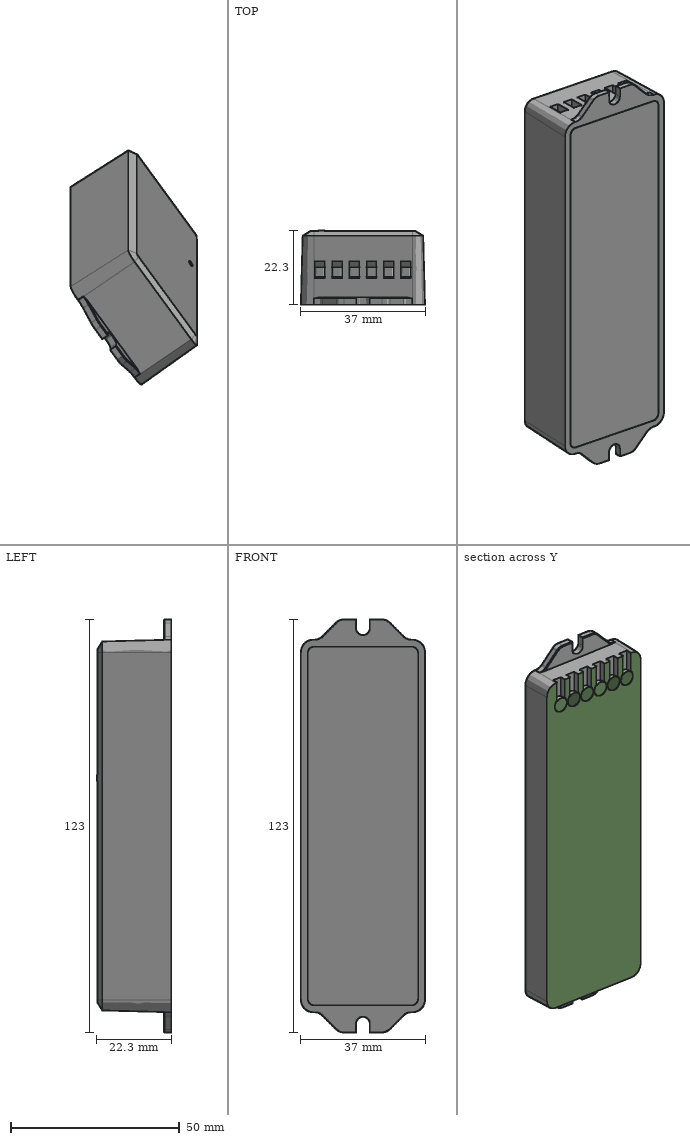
import cadquery as cq
import math

TOTAL_LENGTH = 123.0
TOTAL_DEPTH = 22.3
INDICATOR_HEIGHT = 0.2
BODY_WIDTH = 37.0
BODY_LENGTH = 111.0
BODY_DEPTH = TOTAL_DEPTH - INDICATOR_HEIGHT
CORNER_RADIUS = 3.8
WALL_DRAFT = 1.5
RIM_BEVEL_DEPTH = 1.5
RIM_BEVEL_INSET = 2.3
FRONT_Y = -TOTAL_DEPTH / 2
BACK_Y = FRONT_Y + BODY_DEPTH

PANEL_MARGIN = 2.1
PANEL_RADIUS = 2.0
PANEL_RECESS = 0.1

EAR_THICKNESS = 2.2
EAR_TIP_WIDTH = 14.0
EAR_BEND_RADIUS = 3.3
EAR_BACK_BEVEL = 0.2
EAR_LENGTH = (TOTAL_LENGTH - BODY_LENGTH) / 2
EAR_ROOT_WIDTH = EAR_TIP_WIDTH + 2 * EAR_LENGTH
NOTCH_WIDTH = 4.0
NOTCH_DEPTH = 4.7

INDICATOR_DIAMETER = 1.7
INDICATOR_X = -12.3
INDICATOR_Z = 14.3

ENTRY_COUNT = 6
ENTRY_ROW_SPAN = 25.6
ENTRY_PITCH = ENTRY_ROW_SPAN / (ENTRY_COUNT - 1)
ENTRY_POSITIONS = [i * ENTRY_PITCH - ENTRY_ROW_SPAN / 2 for i in range(ENTRY_COUNT)]
ENTRY_WIDTH = 3.0
ENTRY_FRONT_Y = -3.2
ENTRY_BACK_Y = 1.8
ENTRY_WALL = 2.8
LEAD_IN_ANGLE = 58.0
PIN_RADIUS = 2.2
PIN_FRONT_Y = -2.8
PIN_BACK_Y = 0.0
END_Z = BODY_LENGTH / 2 + FRONT_Y * math.tan(math.radians(WALL_DRAFT))
SLOPE_TOP_Z = END_Z - ENTRY_WALL
SLOPE_DROP = (ENTRY_BACK_Y - PIN_BACK_Y) * math.tan(math.radians(LEAD_IN_ANGLE))
SLOPE_FOOT_Z = SLOPE_TOP_Z - SLOPE_DROP
PIN_Z = SLOPE_FOOT_Z - PIN_RADIUS


def xz_plane(y):
    """Workplane with sketch axes X and Z; a negative extrusion goes towards +Y."""
    return cq.Workplane("XZ", origin=(0, y, 0))


def make_box():
    outline = cq.Sketch().rect(BODY_WIDTH, BODY_LENGTH).vertices().fillet(CORNER_RADIUS)
    box = xz_plane(FRONT_Y).placeSketch(outline).extrude(-BODY_DEPTH, taper=WALL_DRAFT)
    return box.faces(">Y").chamfer(RIM_BEVEL_DEPTH, RIM_BEVEL_INSET)


def make_ear():
    """Notched ear at the +Z end, with its root inside the box."""
    root_z = BODY_LENGTH / 2
    tip_z = TOTAL_LENGTH / 2
    shoulder_x = BODY_WIDTH / 2 - CORNER_RADIUS
    right_side = [
        (shoulder_x, root_z - CORNER_RADIUS),
        (shoulder_x, root_z),
        (EAR_ROOT_WIDTH / 2, root_z),
        (EAR_TIP_WIDTH / 2, tip_z),
    ]
    left_side = [(-x, z) for x, z in reversed(right_side)]
    ear = xz_plane(FRONT_Y).polyline(right_side + left_side).close().extrude(-EAR_THICKNESS)

    bend_points = right_side[2:] + left_side[:2]
    for x, z in bend_points:
        bend = cq.selectors.NearestToPointSelector((x, FRONT_Y + EAR_THICKNESS / 2, z))
        ear = ear.edges("|Y").edges(bend).fillet(EAR_BEND_RADIUS)

    notch = (
        xz_plane(FRONT_Y)
        .center(0, tip_z)
        .slot2D(2 * NOTCH_DEPTH, NOTCH_WIDTH, 90)
        .extrude(-EAR_THICKNESS)
    )
    outer_edges = cq.selectors.BoxSelector(
        (-EAR_ROOT_WIDTH, FRONT_Y, root_z + EAR_BACK_BEVEL),
        (EAR_ROOT_WIDTH, BACK_Y, tip_z + EAR_BACK_BEVEL),
    )
    return ear.faces(">Y").edges(outer_edges).chamfer(EAR_BACK_BEVEL).cut(notch)


def make_panel_recess():
    outline = (
        cq.Sketch()
        .rect(BODY_WIDTH - 2 * PANEL_MARGIN, BODY_LENGTH - 2 * PANEL_MARGIN)
        .vertices()
        .fillet(PANEL_RADIUS)
    )
    return xz_plane(FRONT_Y).placeSketch(outline).extrude(-PANEL_RECESS)


def make_indicator():
    return (
        xz_plane(BACK_Y)
        .center(INDICATOR_X, INDICATOR_Z)
        .circle(INDICATOR_DIAMETER / 2)
        .extrude(-INDICATOR_HEIGHT)
    )


def make_entry(x):
    """Opening of one wire entry, down to the pin's axis."""
    profile = [
        (ENTRY_FRONT_Y, BODY_LENGTH / 2),
        (ENTRY_BACK_Y, BODY_LENGTH / 2),
        (ENTRY_BACK_Y, SLOPE_TOP_Z),
        (PIN_BACK_Y, SLOPE_FOOT_Z),
        (PIN_BACK_Y, PIN_Z),
        (ENTRY_FRONT_Y, PIN_Z),
    ]
    plane = cq.Workplane("YZ", origin=(x, 0, 0))
    return plane.polyline(profile).close().extrude(ENTRY_WIDTH / 2, both=True)


def make_pin(x):
    """Clamping pin along Y; the same shape is its bore in the housing."""
    return (
        xz_plane(PIN_FRONT_Y)
        .center(x, PIN_Z)
        .circle(PIN_RADIUS)
        .extrude(PIN_FRONT_Y - PIN_BACK_Y)
    )


def make_housing():
    ear = make_ear()
    housing = make_box().union(ear).union(ear.mirror("XY"))
    housing = housing.union(make_indicator()).cut(make_panel_recess())
    for x in ENTRY_POSITIONS:
        housing = housing.cut(make_entry(x)).cut(make_pin(x))
    return housing


housing = make_housing()
pins = [make_pin(x) for x in ENTRY_POSITIONS]

result = cq.Compound.makeCompound([housing.val(), *[pin.val() for pin in pins]])